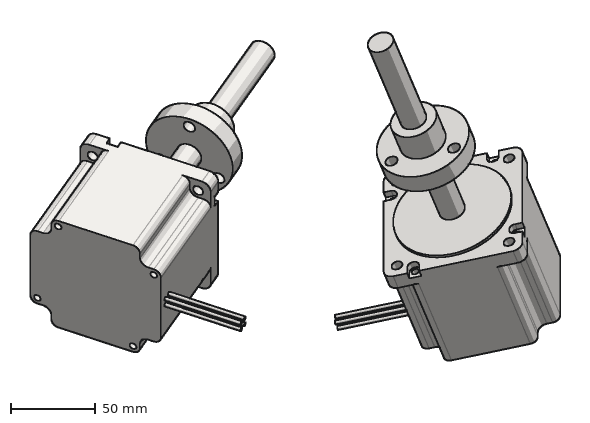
import cadquery as cq
import math


body_width = 86.0
half_width = body_width / 2
flange_back = 68.0
flange_front = 78.2
corner_radius = 6.0
pilot_diameter = 73.0
pilot_front = 80.0

mount_offset = 34.7
mount_diameter = 6.5
relief_wall = 29.2
relief_lip_radius = 4.8
relief_inner_radius = mount_offset - relief_wall

screw_along_side = 24.6
screw_from_axis = 38.3
screw_diameter = 4.3
slot_width = 7.3
slot_depth = 4.5

screw_shaft_diameter = 16.0
shaft_end = 228.0
nut_back = 128.0
nut_flange_front = 140.7
nut_front = 159.8
nut_flange_diameter = 57.2
nut_hub_diameter = 28.5
nut_hole_count = 3
nut_first_hole_angle = 90
nut_hole_circle_radius = 22.3
nut_hole_diameter = 7.5

total_width = 136.0
wire_diameter = 2.5
wire_rows = 2
wire_pitch = 4.8
wire_group_y = 8.5
wire_end = total_width - half_width
wire_embed = 2.3


def profile_plane(y):
    """Workplane facing +Y: local x is -X and local y is Z."""
    return cq.Workplane(cq.Plane((0, y, 0), xDir=(-1, 0, 0), normal=(0, 1, 0)))


def cylinder(diameter, y_start, y_end):
    return profile_plane(y_start).circle(diameter / 2).extrude(y_end - y_start)


def quarter_turns(solid):
    """The solid repeated at four quarter turns about the motor axis."""
    copies = solid
    for angle in (90, 180, 270):
        copies = copies.union(solid.rotate((0, 0, 0), (0, 1, 0), angle))
    return copies


def corner_relief():
    """Corner notch: convex lip at each outer side, concave arc around the mounting hole."""
    diagonal = math.sqrt(0.5)
    lip_center = relief_wall - relief_lip_radius
    lip_start = half_width - relief_lip_radius
    lip_mid_along = lip_center + relief_lip_radius * diagonal
    lip_mid_out = lip_start + relief_lip_radius * diagonal
    inner_mid = mount_offset - relief_inner_radius * diagonal
    return (
        profile_plane(0)
        .moveTo(lip_center, half_width)
        .threePointArc((lip_mid_along, lip_mid_out), (relief_wall, lip_start))
        .lineTo(relief_wall, mount_offset)
        .threePointArc((inner_mid, inner_mid), (mount_offset, relief_wall))
        .lineTo(lip_start, relief_wall)
        .threePointArc((lip_mid_out, lip_mid_along), (half_width, lip_center))
        .lineTo(half_width, half_width)
        .close()
        .extrude(flange_back)
    )


def screw_slot():
    """Screw hole through the housing with its slot in the flange's front face."""
    hole = (
        profile_plane(0)
        .center(screw_along_side, screw_from_axis)
        .circle(screw_diameter / 2)
        .extrude(pilot_front)
    )
    slot_floor = profile_plane(flange_front - slot_depth).center(screw_along_side, screw_from_axis)
    round_end = slot_floor.circle(slot_width / 2).extrude(slot_depth)
    open_end = slot_floor.rect(slot_width, 2 * slot_width).extrude(slot_depth)
    outer_half = slot_floor.center(0, slot_width).rect(2 * slot_width, 2 * slot_width).extrude(slot_depth)
    return hole.union(round_end).union(open_end.intersect(outer_half))


def motor_housing():
    housing = (
        profile_plane(0)
        .rect(body_width, body_width)
        .extrude(flange_front)
        .edges("|Y")
        .fillet(corner_radius)
    )
    mount_hole = (
        profile_plane(0)
        .center(mount_offset, mount_offset)
        .circle(mount_diameter / 2)
        .extrude(flange_front)
    )
    housing = housing.cut(quarter_turns(corner_relief()))
    housing = housing.cut(quarter_turns(mount_hole))
    housing = housing.cut(quarter_turns(screw_slot()))
    return housing.union(cylinder(pilot_diameter, flange_front, pilot_front))


def flanged_nut():
    flange = cylinder(nut_flange_diameter, nut_back, nut_flange_front)
    holes = (
        profile_plane(nut_back)
        .polarArray(nut_hole_circle_radius, nut_first_hole_angle, 360, nut_hole_count)
        .circle(nut_hole_diameter / 2)
        .extrude(nut_flange_front - nut_back)
    )
    hub = cylinder(nut_hub_diameter, nut_flange_front, nut_front)
    return flange.cut(holes).union(hub)


def lead_wires():
    return (
        cq.Workplane("YZ", origin=(half_width - wire_embed, wire_group_y, 0))
        .rarray(wire_pitch, wire_pitch, wire_rows, wire_rows)
        .circle(wire_diameter / 2)
        .extrude(wire_end - half_width + wire_embed)
    )


lead_screw = cylinder(screw_shaft_diameter, flange_front, shaft_end)
result = motor_housing().union(lead_screw).union(flanged_nut()).union(lead_wires())